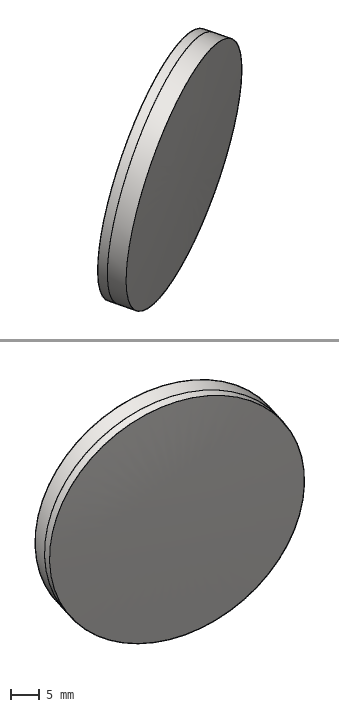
import cadquery as cq

diameter = 50.8
radius = diameter / 2
front_edge = 1.9
front_bulge = 1.15
back_edge = 3.6
back_bulge = 0.45


def domed_lens(edge, bulge, direction):
    """Lens with a flat face at X = 0 and a spherical face on the given side."""
    rim_x = direction * edge
    apex_x = direction * (edge + bulge)
    sphere_radius = (radius**2 + bulge**2) / (2 * bulge)
    center_x = apex_x - direction * sphere_radius
    mid_z = radius / 2
    mid_x = center_x + direction * (sphere_radius**2 - mid_z**2) ** 0.5
    half_section = (
        cq.Workplane("XZ")
        .lineTo(0, radius)
        .lineTo(rim_x, radius)
        .threePointArc((mid_x, mid_z), (apex_x, 0))
        .close()
    )
    return half_section.revolve(360, (0, 0, 0), (1, 0, 0))


front_lens = domed_lens(front_edge, front_bulge, -1)
back_lens = domed_lens(back_edge, back_bulge, 1)

result = cq.Compound.makeCompound([front_lens.val(), back_lens.val()])